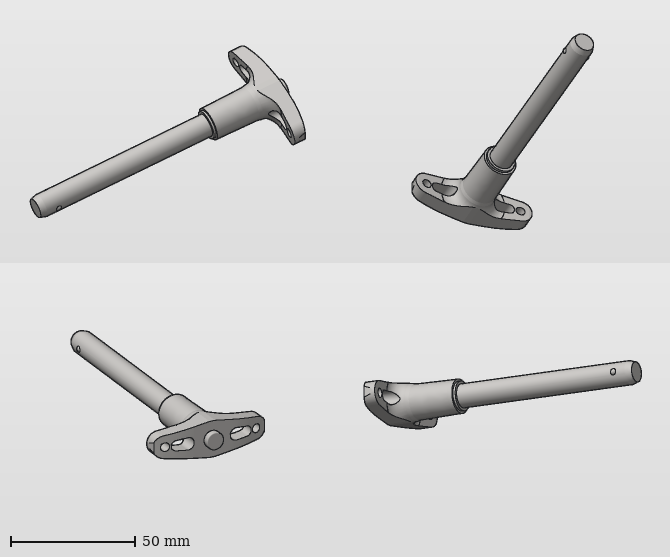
import cadquery as cq
import math

total_length = 117.2

shank_radius = 4.9
tip_radius = 4.1
tip_chamfer_length = 2.7
ball_radius = 1.4
ball_protrusion = 0.7
ball_y = 8.1

collar_start_y = 80.3
sleeve_start_y = 81.4
sleeve_straight_end_y = 83.5
sleeve_end_y = 100.9
collar_radius = 6.1
sleeve_small_radius = 7.0
sleeve_large_radius = 7.4

neck_end_y = 102.5
neck_radius = 7.7
flare_radius = 14.1
flare_end_y = 107.5

handle_length = 51.5
handle_width = 15.8
handle_top_y = 114.3
handle_flat_half_length = 8.2
center_flat_half_length = 1.23
arm_end_radius = 5.0
arm_end_top_y = 111.5
arm_bottom_y = 106.4
arm_bottom_flat_length = 1.4
end_facet_inset = 0.6

hole_radius = 1.9
slot_inner_x = 10.9
slot_inner_radius = 2.7
slot_outer_x = 16.0
slot_outer_radius = 2.2

button_radius = 3.8
button_edge_round = 0.5

arm_tip_x = handle_length / 2
arm_end_x = arm_tip_x - arm_end_radius
handle_half_width = handle_width / 2


def outer_tangent_angle(near_x, near_radius, far_x, far_radius):
    """Angle from +X to the upper tangent points of two circles centred on the X axis."""
    return math.acos((near_radius - far_radius) / (far_x - near_x))


def point_on_circle(center_x, radius, angle):
    return center_x + radius * math.cos(angle), radius * math.sin(angle)


def mirror_z(point):
    return point[0], -point[1]


def mirror_x(point):
    return -point[0], point[1]


def extrude_along_y(outline):
    """Extrude an XZ outline through the full pin length."""
    return outline.extrude(-total_length)


def make_pin_body():
    flare_run = flare_radius - neck_radius
    flare_rise = flare_end_y - neck_end_y
    flare_arc_radius = (flare_run**2 + flare_rise**2) / (2 * flare_run)
    flare_half_angle = math.atan2(flare_run, flare_rise)
    flare_mid = (
        neck_radius + flare_arc_radius * (1 - math.cos(flare_half_angle)),
        neck_end_y + flare_arc_radius * math.sin(flare_half_angle),
    )
    return (
        cq.Workplane("XY")
        .moveTo(0, 0)
        .lineTo(tip_radius, 0)
        .lineTo(shank_radius, tip_chamfer_length)
        .lineTo(shank_radius, collar_start_y)
        .lineTo(collar_radius, collar_start_y)
        .lineTo(collar_radius, sleeve_start_y)
        .lineTo(sleeve_small_radius, sleeve_start_y)
        .lineTo(sleeve_small_radius, sleeve_straight_end_y)
        .lineTo(sleeve_large_radius, sleeve_end_y)
        .lineTo(neck_radius, neck_end_y)
        .threePointArc(flare_mid, (flare_radius, flare_end_y))
        .lineTo(flare_radius, arm_end_top_y)
        .lineTo(0, arm_end_top_y)
        .close()
        .revolve(360, (0, 0, 0), (0, 1, 0))
    )


def make_handle_bar():
    """Side profile of the handle, extruded across its width."""
    crown_run = arm_tip_x - handle_flat_half_length
    crown_drop = handle_top_y - arm_end_top_y
    crown_radius = (crown_run**2 + crown_drop**2) / (2 * crown_drop)
    crown_half_angle = math.asin(crown_run / crown_radius) / 2
    crown_start = (handle_flat_half_length, handle_top_y)
    crown_mid = (
        handle_flat_half_length + crown_radius * math.sin(crown_half_angle),
        handle_top_y - crown_radius * (1 - math.cos(crown_half_angle)),
    )
    crown_end = (arm_tip_x, arm_end_top_y)
    bottom_corner = (arm_tip_x, arm_bottom_y)
    bottom_flat_end = (arm_tip_x - arm_bottom_flat_length, arm_bottom_y)
    underside_slope = (flare_end_y - arm_bottom_y) / (bottom_flat_end[0] - flare_radius)
    underside_end_y = flare_end_y + underside_slope * (flare_radius - neck_radius)
    underside_end = (neck_radius, underside_end_y)
    return (
        cq.Workplane("XY")
        .moveTo(*mirror_x(crown_start))
        .lineTo(*crown_start)
        .threePointArc(crown_mid, crown_end)
        .lineTo(*bottom_corner)
        .lineTo(*bottom_flat_end)
        .lineTo(*underside_end)
        .lineTo(*mirror_x(underside_end))
        .lineTo(*mirror_x(bottom_flat_end))
        .lineTo(*mirror_x(bottom_corner))
        .lineTo(*mirror_x(crown_end))
        .threePointArc(mirror_x(crown_mid), mirror_x(crown_start))
        .close()
        .extrude(handle_half_width, both=True)
    )


def make_handle_envelope():
    """Tapered plan outline with rounded ends that trims the handle and the flare."""
    corner_x = arm_end_x - center_flat_half_length
    corner_distance = math.hypot(corner_x, handle_half_width)
    tangent_angle = (
        math.atan2(handle_half_width, -corner_x) - math.acos(arm_end_radius / corner_distance)
    )
    tangent = point_on_circle(arm_end_x, arm_end_radius, tangent_angle)
    corner = (center_flat_half_length, handle_half_width)
    outline = (
        cq.Workplane("XZ")
        .moveTo(*mirror_x(corner))
        .lineTo(*corner)
        .lineTo(*tangent)
        .threePointArc((arm_tip_x, 0), mirror_z(tangent))
        .lineTo(*mirror_z(corner))
        .lineTo(*mirror_z(mirror_x(corner)))
        .lineTo(*mirror_z(mirror_x(tangent)))
        .threePointArc((-arm_tip_x, 0), mirror_x(tangent))
        .close()
    )
    return extrude_along_y(outline)


def make_arm_openings():
    """Round end hole and tapered slot for the +X arm."""
    hole = extrude_along_y(cq.Workplane("XZ").center(arm_end_x, 0).circle(hole_radius))
    angle = outer_tangent_angle(slot_inner_x, slot_inner_radius, slot_outer_x, slot_outer_radius)
    inner = point_on_circle(slot_inner_x, slot_inner_radius, angle)
    outer = point_on_circle(slot_outer_x, slot_outer_radius, angle)
    slot = extrude_along_y(
        cq.Workplane("XZ")
        .moveTo(*inner)
        .lineTo(*outer)
        .threePointArc((slot_outer_x + slot_outer_radius, 0), mirror_z(outer))
        .lineTo(*mirror_z(inner))
        .threePointArc((slot_inner_x - slot_inner_radius, 0), inner)
        .close()
    )
    return hole.union(slot)


def make_end_facet():
    """Wedge that leaves a sloping flat on the rounded +X arm end."""
    return (
        cq.Workplane("XY")
        .moveTo(arm_tip_x, flare_end_y)
        .lineTo(arm_tip_x, arm_end_top_y + end_facet_inset)
        .lineTo(arm_tip_x - end_facet_inset, arm_end_top_y + end_facet_inset)
        .close()
        .extrude(handle_half_width, both=True)
    )


def make_button():
    return (
        cq.Workplane("XZ", origin=(0, arm_end_top_y, 0))
        .circle(button_radius)
        .extrude(arm_end_top_y - total_length)
        .faces(">Y")
        .edges()
        .fillet(button_edge_round)
    )


def make_locking_balls():
    ball_x = shank_radius + ball_protrusion - ball_radius
    return (
        cq.Workplane("XY")
        .pushPoints([(-ball_x, ball_y), (ball_x, ball_y)])
        .sphere(ball_radius)
    )


openings = make_arm_openings()
end_facet = make_end_facet()

result = make_pin_body().union(make_handle_bar()).intersect(make_handle_envelope())
for cutter in (openings, end_facet):
    result = result.cut(cutter).cut(cutter.mirror("YZ"))
result = result.union(make_button()).union(make_locking_balls())